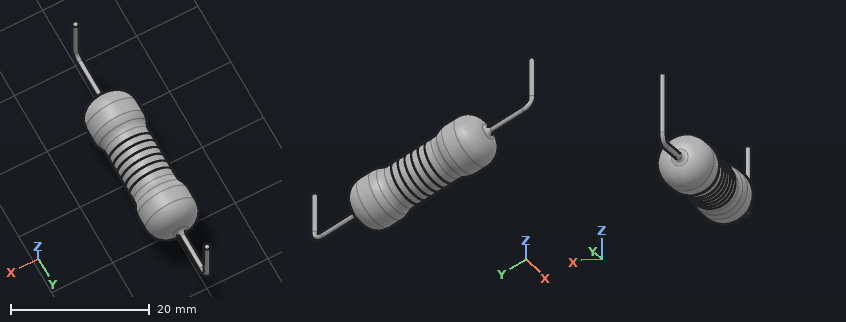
import cadquery as cq
import math

overall_length = 41.0
overall_height = 14.5

lead_diameter = 1.0
bend_radius = 1.48

body_length = 23.85
cap_diameter = 8.4
cap_round_radius = 2.95
waist_diameter = 7.15
shoulder_start = 6.72

band_diameter = 7.18
band_width = 1.25
band_count = 7

lead_radius = lead_diameter / 2
cap_radius = cap_diameter / 2
waist_radius = waist_diameter / 2
half_body = body_length / 2
lead_tip_y = overall_length / 2 - lead_radius
lead_tip_z = overall_height - cap_radius
waist_end = band_width * band_count / 2

flare_radius = cap_radius - cap_round_radius - lead_radius
flare_end = half_body + flare_radius
cap_cylinder_end = half_body - cap_round_radius

shoulder_middle = (waist_end + shoulder_start) / 2
half_run = (shoulder_start - waist_end) / 2
half_drop = (cap_radius - waist_radius) / 2
shoulder_radius = (half_run**2 + half_drop**2) / (2 * half_drop)
middle_radius = waist_radius + half_drop

arc_diagonal = math.sqrt(0.5)
half_arc_angle = math.asin(half_run / shoulder_radius) / 2
arc_run = shoulder_radius * math.sin(half_arc_angle)
arc_drop = shoulder_radius * (1 - math.cos(half_arc_angle))


def make_half_body():
    """Revolve the +Y half of the body: waist, shoulder, rounded cap and flare."""
    flare_mid = (
        lead_radius + flare_radius * (1 - arc_diagonal),
        flare_end - flare_radius * arc_diagonal,
    )
    cap_mid = (
        cap_radius - cap_round_radius * (1 - arc_diagonal),
        cap_cylinder_end + cap_round_radius * arc_diagonal,
    )
    profile = (
        cq.Workplane("XY")
        .lineTo(waist_radius, 0)
        .lineTo(waist_radius, waist_end)
        .threePointArc((waist_radius + arc_drop, waist_end + arc_run), (middle_radius, shoulder_middle))
        .threePointArc((cap_radius - arc_drop, shoulder_start - arc_run), (cap_radius, shoulder_start))
        .lineTo(cap_radius, cap_cylinder_end)
        .threePointArc(cap_mid, (cap_radius - cap_round_radius, half_body))
        .threePointArc(flare_mid, (lead_radius, flare_end))
        .lineTo(0, flare_end)
        .close()
    )
    return profile.revolve(360, (0, 0, 0), (0, 1, 0))


def make_lead():
    """Sweep the +Y lead out of the flare and up through its bend."""
    bend_start = lead_tip_y - bend_radius
    bend_mid = (
        bend_start + bend_radius * arc_diagonal,
        bend_radius * (1 - arc_diagonal),
    )
    path = (
        cq.Workplane("YZ")
        .moveTo(flare_end, 0)
        .lineTo(bend_start, 0)
        .threePointArc(bend_mid, (lead_tip_y, bend_radius))
        .lineTo(lead_tip_y, lead_tip_z)
    )
    section = cq.Workplane("XZ", origin=(0, flare_end, 0)).circle(lead_radius)
    return section.sweep(path)


def make_band(start_y):
    """One raised band, a full disc extending toward +Y from start_y."""
    return cq.Workplane("XZ", origin=(0, start_y, 0)).circle(band_diameter / 2).extrude(-band_width)


half_part = make_half_body().union(make_lead())
result = half_part.union(half_part.mirror("XZ"))

for band in range(1, band_count, 2):
    result = result.union(make_band(-waist_end + band * band_width))